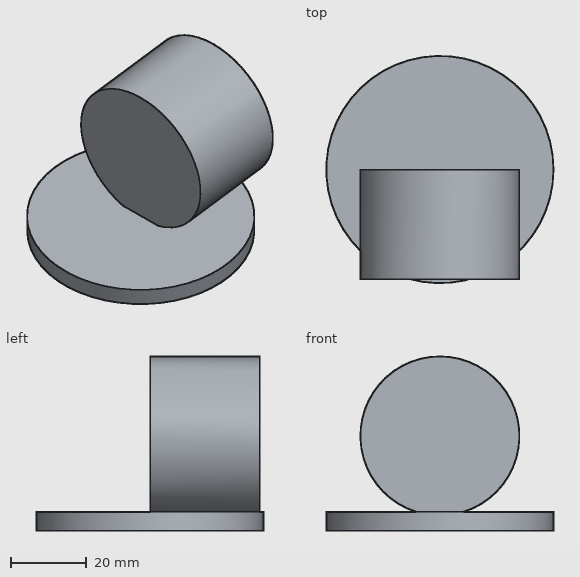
import cadquery as cq

base_diameter = 60
base_thickness = 5.0

drum_diameter = 42
drum_length = 29.0
overall_height = 46.0
drum_axis_height = overall_height - drum_diameter / 2

base = cq.Workplane("XY").circle(base_diameter / 2).extrude(base_thickness)

drum = (
    cq.Workplane("XZ")
    .center(0, drum_axis_height)
    .circle(drum_diameter / 2)
    .extrude(drum_length)
)

result = base.union(drum)